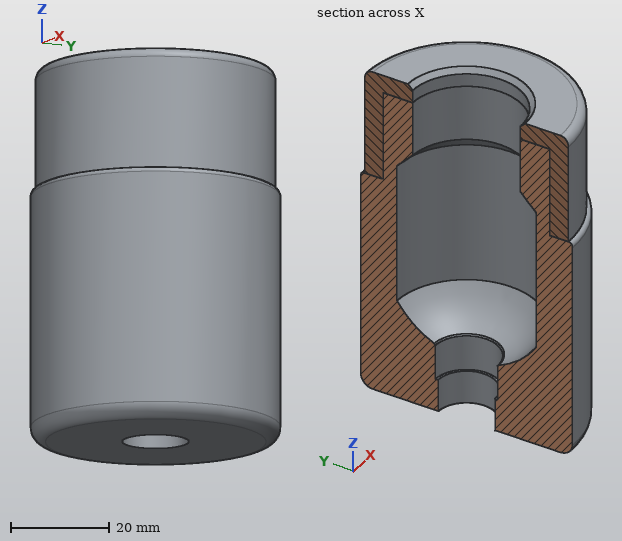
import cadquery as cq
import math

height = 76.9
housing_diameter = 50.8
housing_radius = housing_diameter / 2
shoulder_height = 51.8
shoulder_fillet = 1.0
cap_radius = housing_radius - shoulder_fillet

bottom_fillet = 3.0
cap_fillet = 2.0
mouth_chamfer = 1.15

neck_radius = 20.0
cap_lip_thickness = 4.15
neck_top = height - cap_lip_thickness

bore_radius = 12.85
bore_depth = 17.0
flare_width = 3.8
cavity_radius = bore_radius + flare_width
floor_radius = 20.0
floor_center_height = 34.6
throat_radius = 7.4
throat_chamfer = 0.3
throat_mouth_radius = throat_radius + throat_chamfer
hole_radius = 6.8
ledge_height = 7.7

flare_top = height - bore_depth
flare_bottom = flare_top - flare_width


def cylinder(radius, bottom, top):
    return cq.Workplane("XY").workplane(offset=bottom).circle(radius).extrude(top - bottom)


def floor_height(radius):
    """Height of the spherical floor at a given distance from the axis."""
    return floor_center_height - math.sqrt(floor_radius**2 - radius**2)


def make_cavity():
    """Passage: through hole, ledge, throat, round floor, wide chamber, flare and bore."""
    throat_top = floor_height(throat_mouth_radius)
    middle_radius = (throat_mouth_radius + cavity_radius) / 2
    profile = (
        cq.Workplane("XZ")
        .lineTo(hole_radius, 0)
        .lineTo(hole_radius, ledge_height)
        .lineTo(throat_radius, ledge_height)
        .lineTo(throat_radius, throat_top - throat_chamfer)
        .lineTo(throat_mouth_radius, throat_top)
        .threePointArc(
            (middle_radius, floor_height(middle_radius)),
            (cavity_radius, floor_height(cavity_radius)),
        )
        .lineTo(cavity_radius, flare_bottom)
        .lineTo(bore_radius, flare_top)
        .lineTo(bore_radius, neck_top)
        .lineTo(0, neck_top)
        .close()
    )
    return profile.revolve(360, (0, 0, 0), (0, 1, 0))


def make_housing():
    """Lower barrel with rounded rims and a neck, hollowed along the axis."""
    barrel = cylinder(housing_radius, 0, shoulder_height)
    barrel = barrel.faces("<Z").edges().fillet(bottom_fillet)
    barrel = barrel.faces(">Z").edges().fillet(shoulder_fillet)
    neck = cylinder(neck_radius, shoulder_height, neck_top)
    return barrel.union(neck).cut(make_cavity())


def make_cap():
    """Sleeve around the neck, with a lip over the neck that continues its bore."""
    cap = cylinder(cap_radius, shoulder_height, height)
    cap = cap.faces(">Z").edges().fillet(cap_fillet)
    cap = cap.cut(cylinder(neck_radius, shoulder_height, neck_top))
    cap = cap.cut(cylinder(bore_radius, neck_top, height))
    mouth_edge = cq.selectors.RadiusNthSelector(0)
    return cap.faces(">Z").edges(mouth_edge).chamfer(mouth_chamfer)


housing = make_housing()
cap = make_cap()
result = cq.Compound.makeCompound([housing.solids().val(), cap.solids().val()])